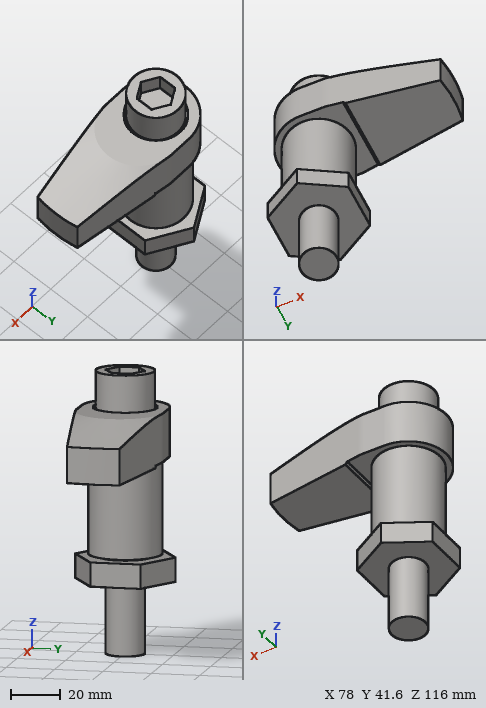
import cadquery as cq
import math

total_height = 116.0
nut_bottom = 30.0
nut_height = 10.0
collar_height = 1.0
sleeve_height = 40.0
lever_height = 20.0
nut_top = nut_bottom + nut_height
sleeve_bottom = nut_top + collar_height
lever_bottom = sleeve_bottom + sleeve_height
lever_top = lever_bottom + lever_height

shank_radius = 8.0
head_diameter = 24.0
socket_across_flats = 14.0
socket_depth = 8.0
head_recess_depth = 1.0
head_seat = lever_top - head_recess_depth

nut_across_flats = 36.0

sleeve_diameter = 30.0
collar_diameter = 23.0
recess_diameter = 26.0
boss_radius = nut_across_flats / 2
flat_length = 10.0
handle_taper = math.radians(8.5)
handle_reach = 60.0
tip_drop = 6.0
pad_height = 1.0
pad_start = 18.6


def hexagon_prism(across_flats, bottom, height):
    """Hexagonal prism on the Z axis with two flats facing +X and -X."""
    across_corners = across_flats / math.cos(math.pi / 6)
    prism = cq.Workplane("XY").polygon(6, across_corners).extrude(height)
    return prism.rotate((0, 0, 0), (0, 0, 1), 30).translate((0, 0, bottom))


def cylinder(radius, bottom, top):
    """Upright cylinder on the Z axis."""
    return cq.Workplane("XY").workplane(offset=bottom).circle(radius).extrude(top - bottom)


def make_screw():
    shank = cylinder(shank_radius, 0, head_seat)
    head = cylinder(head_diameter / 2, head_seat, total_height)
    socket = hexagon_prism(socket_across_flats, total_height - socket_depth, socket_depth)
    return shank.union(head).cut(socket)


def make_nut():
    blank = hexagon_prism(nut_across_flats, nut_bottom, nut_height)
    return blank.cut(cylinder(shank_radius, nut_bottom, nut_top))


def lever_blank():
    """Lever plan outline: round boss, short flats, tapered handle and round tip."""
    tangent_x = flat_length + boss_radius * math.sin(handle_taper)
    tangent_y = boss_radius * math.cos(handle_taper)
    blend_x = flat_length + boss_radius * math.sin(handle_taper / 2)
    blend_y = boss_radius * math.cos(handle_taper / 2)

    side_offset = boss_radius + flat_length * math.sin(handle_taper)
    tip_angle = math.acos(side_offset / handle_reach)
    corner_angle = math.pi / 2 - handle_taper - tip_angle
    corner_x = handle_reach * math.cos(corner_angle)
    corner_y = handle_reach * math.sin(corner_angle)

    blank_bottom = lever_bottom - pad_height
    return (
        cq.Workplane("XY")
        .workplane(offset=blank_bottom)
        .moveTo(0, boss_radius)
        .lineTo(flat_length, boss_radius)
        .threePointArc((blend_x, blend_y), (tangent_x, tangent_y))
        .lineTo(corner_x, corner_y)
        .threePointArc((handle_reach, 0), (corner_x, -corner_y))
        .lineTo(tangent_x, -tangent_y)
        .threePointArc((blend_x, -blend_y), (flat_length, -boss_radius))
        .lineTo(0, -boss_radius)
        .threePointArc((-boss_radius, 0), (0, boss_radius))
        .close()
        .extrude(lever_top - blank_bottom)
    )


def handle_top_cut():
    """Ring above a cone that falls away from the outer round end of the boss."""
    cone_run = handle_reach - flat_length - boss_radius
    cut_run = 1.5 * cone_run
    cut_drop = tip_drop * cut_run / cone_run
    ring = (
        cq.Workplane("XZ")
        .moveTo(boss_radius, lever_top)
        .lineTo(boss_radius + cut_run, lever_top - cut_drop)
        .lineTo(boss_radius + cut_run, lever_top)
        .close()
        .revolve(360, (0, 0, 0), (0, 1, 0))
        .translate((flat_length, 0, 0))
    )
    handle_side = (
        cq.Workplane("XY")
        .box(2 * handle_reach, 4 * boss_radius, total_height, centered=(False, True, False))
        .translate((flat_length, 0, 0))
    )
    return ring.intersect(handle_side)


def boss_underside_cut():
    """Slab that raises the boss underside, ending in a 45 degree step at the handle."""
    pad_bottom = lever_bottom - pad_height
    slab_start = -2 * boss_radius
    return (
        cq.Workplane("XZ")
        .moveTo(slab_start, pad_bottom)
        .lineTo(pad_start + pad_height, pad_bottom)
        .lineTo(pad_start, lever_bottom)
        .lineTo(slab_start, lever_bottom)
        .close()
        .extrude(2 * boss_radius, both=True)
    )


def make_lever():
    lever = lever_blank().cut(handle_top_cut()).cut(boss_underside_cut())
    sleeve = cylinder(sleeve_diameter / 2, sleeve_bottom, lever_bottom)
    collar = cylinder(collar_diameter / 2, nut_top, sleeve_bottom)
    bore = cylinder(shank_radius, nut_top, head_seat)
    head_recess = cylinder(recess_diameter / 2, head_seat, lever_top)
    return lever.union(sleeve).union(collar).cut(bore).cut(head_recess)


screw = make_screw()
nut = make_nut()
lever = make_lever()

result = cq.Compound.makeCompound([body.solids().val() for body in (screw, nut, lever)])